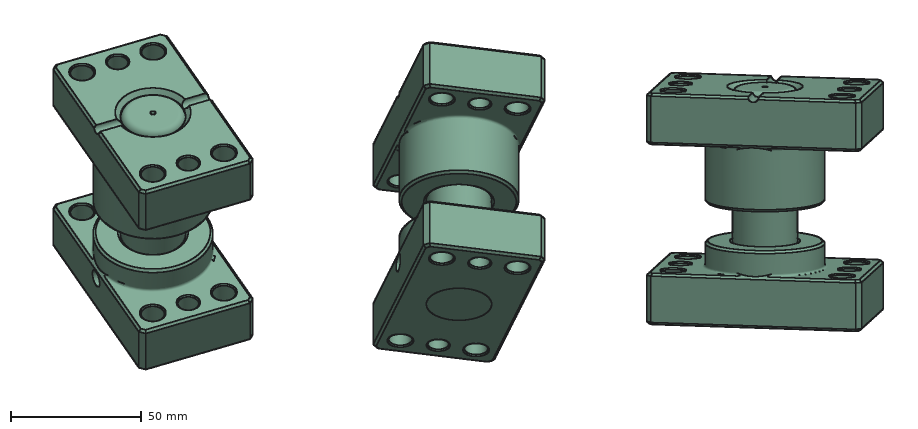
import cadquery as cq
import math

PLATE_LENGTH = 84.0
PLATE_WIDTH = 48.0
PLATE_THICKNESS = 20.0
CORNER_CHAMFER = 2.0
EDGE_CHAMFER = 1.0
TOP_LEVEL = 90.2

BOSS_RADIUS = PLATE_WIDTH / 2 - EDGE_CHAMFER
UPPER_BOSS_HEIGHT = 25.0
LOWER_BOSS_HEIGHT = 10.0
BOSS_CHAMFER = 1.0
BOSS_ROOT_FILLET = 1.0
BORE_CHAMFER = 1.0

PIN_RADIUS = 12.5
PIN_LENGTH = 90.0
PIN_TOP_FILLET = 3.0
CENTRE_RADIUS = 1.0
CENTRE_CONE_ANGLE = 60.0

HOLE_X = 33.0
BOLT_Y = 15.0
BOLT_DIAMETER = 9.0
DOWEL_DIAMETER = 8.0
HOLE_CHAMFER = 0.5

SINK_CHAMFER = 2.0
GROOVE_RADIUS = 2.1
SIDE_HOLE_DIAMETER = 6.8
SIDE_HOLE_LEVEL = 15.0


def cone_cut(mouth, mouth_radius, depth, floor_radius):
    """Cone cutter that starts at the mouth point and narrows downwards."""
    cone = cq.Solid.makeCone(mouth_radius, floor_radius, depth, cq.Vector(mouth), cq.Vector(0, 0, -1))
    return cq.Workplane(cone)


def chamfered_hole(x, y, diameter):
    """Cutter for a hole through the plate with both mouths chamfered."""
    radius = diameter / 2
    hole = cq.Workplane().center(x, y).circle(radius).extrude(PLATE_THICKNESS)
    top_mouth = cone_cut((x, y, PLATE_THICKNESS), radius + HOLE_CHAMFER, HOLE_CHAMFER, radius)
    bottom_mouth = top_mouth.mirror("XY", (0, 0, PLATE_THICKNESS / 2))
    return hole.union(top_mouth).union(bottom_mouth)


def boss_root():
    """Flared ring in the corner between boss and plate, cut off where it would pass the edge chamfers."""
    flare_radius = BOSS_RADIUS + BOSS_ROOT_FILLET
    flare_top = PLATE_THICKNESS + BOSS_ROOT_FILLET
    arc_offset = BOSS_ROOT_FILLET * (1 - math.sqrt(0.5))
    ring = (
        cq.Workplane("XZ")
        .moveTo(PIN_RADIUS, PLATE_THICKNESS)
        .lineTo(flare_radius, PLATE_THICKNESS)
        .threePointArc((BOSS_RADIUS + arc_offset, PLATE_THICKNESS + arc_offset), (BOSS_RADIUS, flare_top))
        .lineTo(PIN_RADIUS, flare_top)
        .close()
        .revolve(360, (0, 0), (0, 1))
    )
    half_width = PLATE_WIDTH / 2 - EDGE_CHAMFER
    between_chamfers = (
        cq.Workplane("YZ")
        .moveTo(-half_width, PLATE_THICKNESS)
        .lineTo(half_width, PLATE_THICKNESS)
        .lineTo(half_width - BOSS_ROOT_FILLET, flare_top)
        .lineTo(BOSS_ROOT_FILLET - half_width, flare_top)
        .close()
        .extrude(PLATE_LENGTH / 2, both=True)
    )
    return ring.intersect(between_chamfers)


def bored_plate(boss_height):
    """Plate standing on Z = 0 with a round boss on top, a pin bore and six end holes."""
    plate = (
        cq.Workplane()
        .box(PLATE_LENGTH, PLATE_WIDTH, PLATE_THICKNESS, centered=(True, True, False))
        .edges("|Z").chamfer(CORNER_CHAMFER)
        .faces("<Z or >Z").edges().chamfer(EDGE_CHAMFER)
    )
    boss_top = PLATE_THICKNESS + boss_height
    boss = cq.Workplane().circle(BOSS_RADIUS).extrude(boss_top).faces(">Z").edges().chamfer(BOSS_CHAMFER)
    body = plate.union(boss).union(boss_root())
    body = body.cut(cq.Workplane().circle(PIN_RADIUS).extrude(boss_top))
    body = body.cut(cone_cut((0, 0, boss_top), PIN_RADIUS + BORE_CHAMFER, BORE_CHAMFER, PIN_RADIUS))
    for x in (-HOLE_X, HOLE_X):
        for y, diameter in ((-BOLT_Y, BOLT_DIAMETER), (0, DOWEL_DIAMETER), (BOLT_Y, BOLT_DIAMETER)):
            body = body.cut(chamfered_hole(x, y, diameter))
    return body


def make_lower_plate():
    """Plate with its boss upwards and a side hole from the -Y face into the bore."""
    side_hole = (
        cq.Workplane("XZ", origin=(0, 0, SIDE_HOLE_LEVEL))
        .circle(SIDE_HOLE_DIAMETER / 2)
        .extrude(PLATE_WIDTH / 2)
    )
    return bored_plate(LOWER_BOSS_HEIGHT).cut(side_hole)


def make_upper_plate():
    """Plate with its boss downwards, a wide countersink and a groove across its top."""
    body = bored_plate(UPPER_BOSS_HEIGHT).rotate((0, 0, 0), (1, 0, 0), 180).translate((0, 0, TOP_LEVEL))
    sink = cone_cut((0, 0, TOP_LEVEL), PIN_RADIUS + SINK_CHAMFER, SINK_CHAMFER, PIN_RADIUS)
    groove = (
        cq.Workplane("XZ", origin=(0, 0, TOP_LEVEL))
        .circle(GROOVE_RADIUS)
        .extrude(PLATE_WIDTH / 2, both=True)
    )
    return body.cut(groove).cut(sink)


def make_pin():
    """Straight pin with a rounded top edge and a conical centre in its top face."""
    pin = cq.Workplane().circle(PIN_RADIUS).extrude(PIN_LENGTH).faces(">Z").edges().fillet(PIN_TOP_FILLET)
    centre_depth = CENTRE_RADIUS / math.tan(math.radians(CENTRE_CONE_ANGLE / 2))
    return pin.cut(cone_cut((0, 0, PIN_LENGTH), CENTRE_RADIUS, centre_depth, 0))


lower_plate = make_lower_plate()
upper_plate = make_upper_plate()
pin = make_pin()

bodies = (lower_plate, upper_plate, pin)
result = cq.Compound.makeCompound([body.solids().val() for body in bodies])